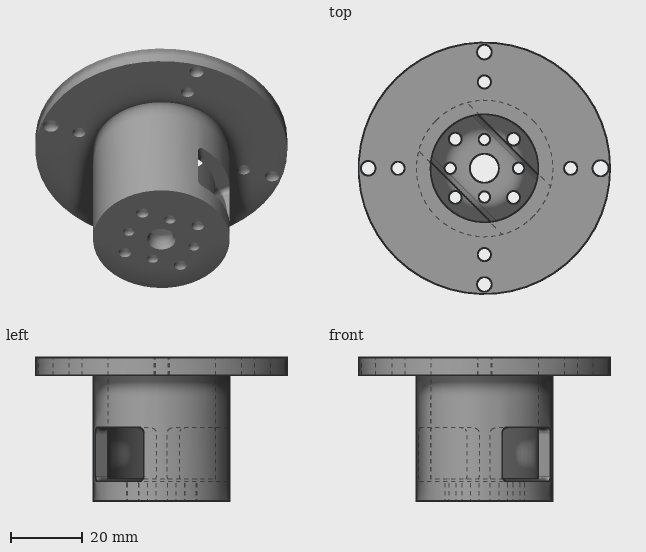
import cadquery as cq

flange_diameter = 70.0
flange_thickness = 5.0
body_diameter = 38.0
total_height = 40.0

bore_diameter = 30.0
floor_thickness = 6.3

channel_width = 19.0
channel_height = 15.0
channel_bottom = 5.5
channel_corner_radius = 1.5
channel_angle = -45.0

rim_hole_offset = 32.3
rim_hole_diameter = 4.0
wide_rim_hole_diameter = 4.4
inner_hole_offset = 24.0
inner_hole_diameter = 3.6

shaft_hole_diameter = 8.0
motor_hole_diameter = 3.1
motor_spacing_x = 19.0
motor_spacing_y = 16.0
corner_hole_diameter = 3.5
corner_spacing = 16.2


def make_blank():
    """Round body with the flange on top of it."""
    body = cq.Workplane("XY").circle(body_diameter / 2).extrude(total_height)
    flange = (
        cq.Workplane("XY")
        .workplane(offset=total_height - flange_thickness)
        .circle(flange_diameter / 2)
        .extrude(flange_thickness)
    )
    return body.union(flange)


def make_bore():
    return (
        cq.Workplane("XY")
        .workplane(offset=floor_thickness)
        .circle(bore_diameter / 2)
        .extrude(total_height - floor_thickness)
    )


def make_channel():
    """Bar with rounded long edges, reaching past the body on both sides."""
    return (
        cq.Workplane("XY")
        .box(flange_diameter, channel_width, channel_height)
        .edges("|X")
        .fillet(channel_corner_radius)
        .rotate((0, 0, 0), (0, 0, 1), channel_angle)
        .translate((0, 0, channel_bottom + channel_height / 2))
    )


def make_hole_cutters(points, diameter):
    """Vertical cylinders through the full height at the given centres."""
    return cq.Workplane("XY").pushPoints(points).circle(diameter / 2).extrude(total_height)


def axis_points(offset_x, offset_y):
    return [(offset_x, 0), (0, offset_y), (-offset_x, 0), (0, -offset_y)]


corner_offset = corner_spacing / 2
corner_points = [(sx * corner_offset, sy * corner_offset) for sx in (-1, 1) for sy in (-1, 1)]
wide_rim_point, *rim_points = axis_points(rim_hole_offset, rim_hole_offset)

hole_groups = [
    ([wide_rim_point], wide_rim_hole_diameter),
    (rim_points, rim_hole_diameter),
    (axis_points(inner_hole_offset, inner_hole_offset), inner_hole_diameter),
    ([(0, 0)], shaft_hole_diameter),
    (axis_points(motor_spacing_x / 2, motor_spacing_y / 2), motor_hole_diameter),
    (corner_points, corner_hole_diameter),
]

result = make_blank().cut(make_bore()).cut(make_channel())
for points, diameter in hole_groups:
    result = result.cut(make_hole_cutters(points, diameter))